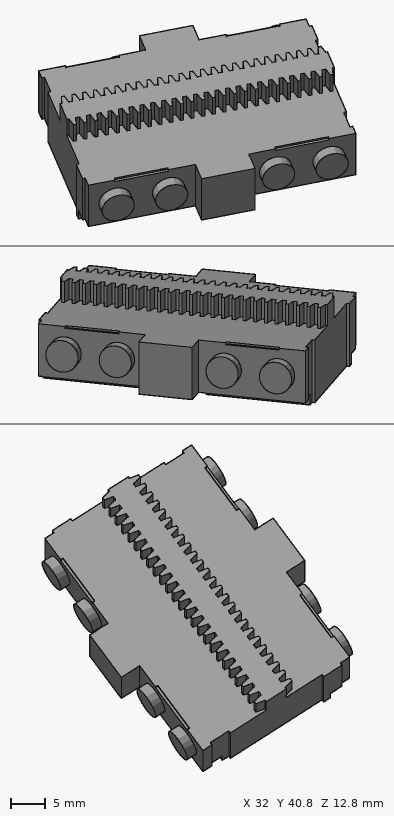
import cadquery as cq

overall_length = 40.8
tab_step = 0.4
body_length = overall_length - 2 * tab_step
module = body_length / 5
grid = module / 5

body_width = 16 * grid
body_height = module
arm_span = 4 * module
arm_width = module
foot_width = 18.28
foot_height = grid
foot_gap = module

tab_inner_x = 5 * grid
tab_width = 2 * grid
tab_center_x = tab_inner_x + tab_width / 2

pin_diameter = 4.8
pin_length = grid
pin_rows = (-2 * module, -module, module, 2 * module)

notch_length = module
notch_width = 0.4
notch_depth = 0.3
notch_center_y = 1.5 * module

rack_height = 2 * grid
tooth_count = 25
tooth_pitch = body_length / tooth_count
rack_root_x = 1.75
rack_tip_x = 3.15
root_flat = 0.57
tip_flat = 0.45


def box(width, length, height, center_x, center_y, bottom_z):
    """Rectangular block standing on bottom_z."""
    return (
        cq.Workplane("XY")
        .box(width, length, height, centered=(True, True, False))
        .translate((center_x, center_y, bottom_z))
    )


def make_block():
    """Body with side arms, two feet, and the end tabs and recesses through body and feet."""
    total_height = foot_height + body_height
    half_length = body_length / 2

    footprint = box(body_width, body_length, total_height, 0, 0, 0)
    for end in (-1, 1):
        tab_y = end * (half_length + tab_step / 2)
        recess_y = end * (half_length - tab_step / 2)
        tab = box(tab_width, tab_step, total_height, -end * tab_center_x, tab_y, 0)
        recess = box(tab_width, tab_step, total_height, end * tab_center_x, recess_y, 0)
        footprint = footprint.union(tab).cut(recess)

    body_space = box(arm_span, overall_length, body_height, 0, 0, foot_height)
    foot_space = box(foot_width, overall_length, foot_height, 0, 0, 0)
    cross_gap = box(foot_width, foot_gap, foot_height, 0, 0, 0)
    block = footprint.intersect(body_space.union(foot_space).cut(cross_gap))

    arms = box(arm_span, arm_width, body_height, 0, 0, foot_height)
    return block.union(arms)


def make_pins():
    """Round pins on both long sides, running through the body between opposite pairs."""
    pin_span = body_width + 2 * pin_length
    pin_z = foot_height + body_height / 2
    return (
        cq.Workplane("YZ", origin=(-pin_span / 2, 0, pin_z))
        .pushPoints([(y, 0) for y in pin_rows])
        .circle(pin_diameter / 2)
        .extrude(pin_span)
    )


def make_notches():
    """Notches cut into the top edges of the long sides."""
    notches = cq.Workplane("XY")
    notch_x = (body_width - notch_width) / 2
    notch_z = foot_height + body_height - notch_depth
    for side in (-1, 1):
        for end in (-1, 1):
            notches = notches.add(
                box(notch_width, notch_length, notch_depth, side * notch_x, end * notch_center_y, notch_z)
            )
    return notches.combine()


def make_rack():
    """Straight rack with trapezoidal teeth on both sides, mirrored about the middle."""
    half_length = body_length / 2
    half_tip = tip_flat / 2
    half_base = (tooth_pitch - root_flat) / 2

    right_edge = [(rack_root_x, -half_length)]
    for tooth in range(tooth_count):
        tooth_y = (tooth + 0.5) * tooth_pitch - half_length
        right_edge += [
            (rack_root_x, tooth_y - half_base),
            (rack_tip_x, tooth_y - half_tip),
            (rack_tip_x, tooth_y + half_tip),
            (rack_root_x, tooth_y + half_base),
        ]
    right_edge.append((rack_root_x, half_length))
    left_edge = [(-x, y) for x, y in reversed(right_edge)]

    return (
        cq.Workplane("XY", origin=(0, 0, foot_height + body_height))
        .polyline(right_edge + left_edge)
        .close()
        .extrude(rack_height)
    )


result = make_block().union(make_pins()).cut(make_notches()).union(make_rack())